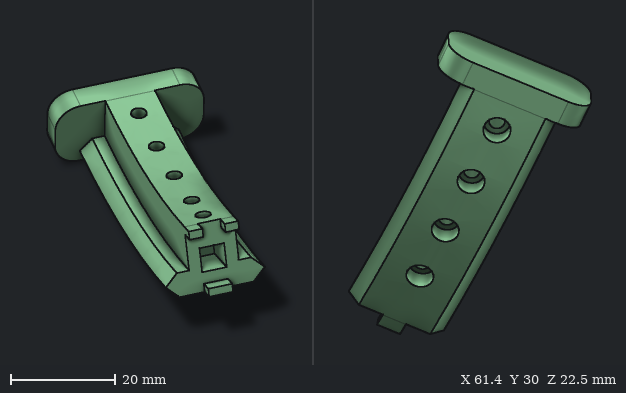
import cadquery as cq
import math

outer_radius = 142.5
body_height = 14.1
plate_angle = -2.4
tip_angle = 19.55

rail_width = 20.0
rail_flat_width = 15.0
rail_height = 5.05
web_width = 10.0

plate_width = 30.0
plate_thickness = 5.0
plate_corner_radius = 5.0

tab_length = 2.95
tab_height = 1.7
upper_tab_width = 2.75
lower_tab_width = 4.85
pocket_size = 5.0
pocket_depth = 8.0
pocket_bottom = 4.1

hole_diameter = 3.0
hole_pitch_angle = 4.86
through_hole_count = 4
through_hole_angles = [i * hole_pitch_angle for i in range(through_hole_count)]
last_hole_angle = 17.85
counterbore_diameter = 5.2
counterbore_depth = 4.2
cut_clearance = 0.6


def section_plane(angle):
    """Radial section: local X is Y, local Y points to the arc axis, normal follows the arc."""
    a = math.radians(angle)
    origin = (outer_radius * math.sin(a), 0, outer_radius * (1 - math.cos(a)))
    return cq.Plane(origin=origin, xDir=(0, 1, 0), normal=(math.cos(a), 0, math.sin(a)))


def radial_plane(angle):
    """Plane tangent to the outer arc, with its normal pointing to the arc axis."""
    a = math.radians(angle)
    origin = (outer_radius * math.sin(a), 0, outer_radius * (1 - math.cos(a)))
    return cq.Plane(origin=origin, xDir=(0, 1, 0), normal=(-math.sin(a), 0, math.cos(a)))


def block(width, height, length, side, bottom):
    """Box along the tip normal; a negative length goes into the body."""
    return (
        cq.Workplane(section_plane(tip_angle))
        .center(side, bottom + height / 2)
        .rect(width, height)
        .extrude(length)
    )


def make_body():
    half_section = [
        (rail_flat_width / 2, 0),
        (rail_width / 2, rail_height / 2),
        (rail_flat_width / 2, rail_height),
        (web_width / 2, rail_height),
        (web_width / 2, body_height),
    ]
    mirrored = [(-x, y) for x, y in reversed(half_section)]
    return (
        cq.Workplane(section_plane(plate_angle))
        .polyline(half_section + mirrored)
        .close()
        .revolve(tip_angle - plate_angle, (0.6, outer_radius), (0, outer_radius))
    )


def make_plate():
    return (
        cq.Workplane(section_plane(plate_angle))
        .center(0, body_height / 2)
        .rect(plate_width, body_height)
        .extrude(-plate_thickness)
        .edges(cq.selectors.ParallelDirSelector(section_plane(plate_angle).zDir))
        .fillet(plate_corner_radius)
    )


def add_tabs(part):
    side = (web_width - upper_tab_width) / 2
    for y in (-side, side):
        part = part.union(block(upper_tab_width, tab_height, tab_length, y, body_height - tab_height))
    return part.union(block(lower_tab_width, tab_height, tab_length, 0, 0))


def radial_cylinder(angle, diameter, start, end):
    return (
        cq.Workplane(radial_plane(angle))
        .workplane(offset=start)
        .circle(diameter / 2)
        .extrude(end - start)
    )


def cut_holes(part):
    top = body_height + cut_clearance
    for angle in through_hole_angles:
        part = part.cut(radial_cylinder(angle, hole_diameter, -cut_clearance, top))
        part = part.cut(radial_cylinder(angle, counterbore_diameter, -cut_clearance, counterbore_depth))
    pocket_middle = pocket_bottom + pocket_size / 2
    return part.cut(radial_cylinder(last_hole_angle, hole_diameter, pocket_middle, top))


result = make_body().union(make_plate())
result = add_tabs(result)
result = result.cut(block(pocket_size, pocket_size, -pocket_depth, 0, pocket_bottom))
result = cut_holes(result)